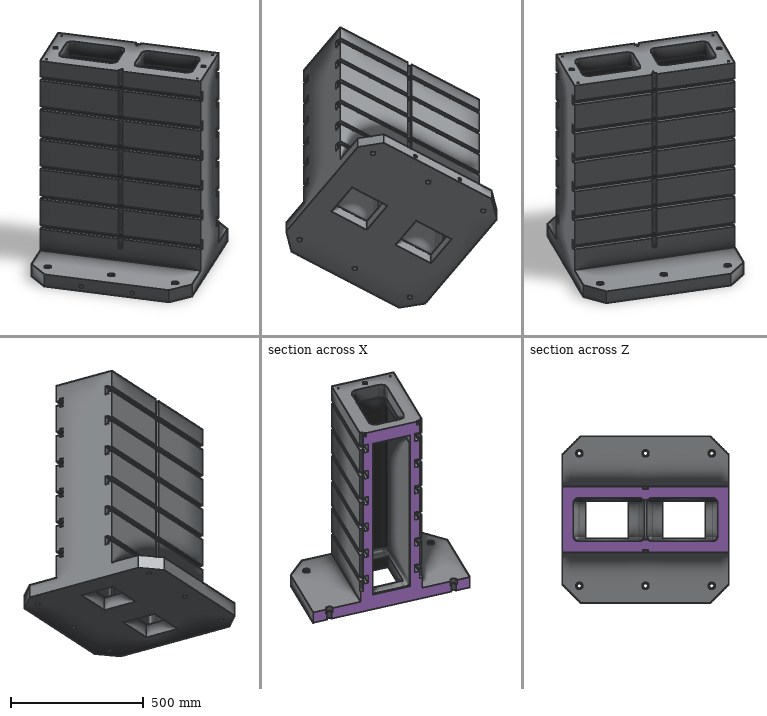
import cadquery as cq
import math

plate_side = 630.0
plate_thickness = 52.0
plate_corner_cut = 70.5
total_height = 850.0

tower_depth = 250.0
tower_half_depth = tower_depth / 2

slot_count = 6
slot_pitch = 125.0
top_slot_drop = 75.0
neck_height = 18.0
neck_depth = 16.0
slot_depth = 30.0
slot_head_height = 33.0

groove_width = 18.0
groove_depth = 10.0
groove_bottom = 100.0

roof_thickness = 60.0
roof_bottom = total_height - roof_thickness
roof_opening_length = 228.0
roof_opening_width = 140.0
roof_opening_radius = 25.0
roof_opening_offset = 148.0

chamber_end = 272.0
chamber_half_width = 82.0
chamber_radius = 20.0
web_thickness = 10.0

lip_half_gap = 75.0
lip_height = 40.0

floor_opening_length = 160.0
floor_opening_width = 140.0
floor_opening_offset = 145.0

mount_spacing = 250.0
mount_diameter = 18.0
mount_counterbore_diameter = 26.0
mount_counterbore_depth = 20.0

drill_point_angle = 118
lifting_diameter = 18.0
lifting_offset = 290.0
lifting_depth = 40.0
pin_diameter = 5.0
pin_x = 296.0
pin_y = 104.5
pin_depth = 15.0
side_diameter = 14.0
side_offset = 100.0
side_height = 19.5
side_depth = 30.0


def box(length, width, bottom, top, x=0, y=0):
    """Upright box centred on (x, y) between two heights."""
    return cq.Workplane("XY", origin=(x, y, bottom)).rect(length, width).extrude(top - bottom)


def drilled_hole(diameter, depth, position, direction):
    """Blind hole cutter with a conical drill point."""
    radius = diameter / 2
    point_depth = radius / math.tan(math.radians(drill_point_angle / 2))
    start = cq.Vector(*position)
    axis = cq.Vector(*direction)
    shaft = cq.Solid.makeCylinder(radius, depth, start, axis)
    point = cq.Solid.makeCone(radius, 0, point_depth, start + axis * depth, axis)
    return cq.Workplane(shaft.fuse(point))


def body():
    """Cut-cornered plate with the solid tower on it."""
    plate = box(plate_side, plate_side, 0, plate_thickness).edges("|Z").chamfer(plate_corner_cut)
    return plate.union(box(plate_side, tower_depth, 0, total_height))


def slot_bar(height, near, far, z, side):
    """Bar along X between two distances inward from a tower face (side 1 is +Y, -1 is -Y)."""
    y = side * (tower_half_depth - (near + far) / 2)
    return box(plate_side, far - near, z - height / 2, z + height / 2, y=y)


def t_slots():
    """T-slots of both faces, from the top one down."""
    slots = cq.Workplane("XY")
    for level in range(slot_count):
        z = total_height - top_slot_drop - level * slot_pitch
        for side in (1, -1):
            slots = slots.add(slot_bar(neck_height, 0, slot_depth, z, side))
            slots = slots.add(slot_bar(slot_head_height, neck_depth, slot_depth, z, side))
    return slots.combine()


def centre_grooves():
    """Round-ended vertical grooves, open at the top."""
    end_z = groove_bottom + groove_width / 2
    length = total_height - end_z
    groove = (cq.Workplane("XZ", origin=(0, tower_half_depth, 0))
              .moveTo(-groove_width / 2, total_height)
              .vLine(-length)
              .threePointArc((0, groove_bottom), (groove_width / 2, end_z))
              .vLine(length)
              .close()
              .extrude(groove_depth))
    return groove.union(groove.mirror("XZ"))


def roof_opening(side):
    """Round-cornered opening through the roof into one chamber."""
    opening = box(roof_opening_length, roof_opening_width, roof_bottom, total_height,
                  side * roof_opening_offset)
    return opening.edges("|Z").fillet(roof_opening_radius)


def chamber(side):
    """One chamber with rounded corners and floor edges, narrowed between the lips at its top."""
    length = chamber_end - web_thickness / 2
    middle = side * (chamber_end + web_thickness / 2) / 2
    space = box(length, 2 * chamber_half_width, plate_thickness, roof_bottom, middle)
    space = space.edges("|Z or <Z").fillet(chamber_radius)
    lip_width = chamber_half_width - lip_half_gap
    lip_y = lip_half_gap + lip_width / 2
    for y in (-lip_y, lip_y):
        space = space.cut(box(length, lip_width, roof_bottom - lip_height, roof_bottom, middle, y))
    return space


def floor_opening(side):
    """Rectangular opening from one chamber down through the plate."""
    return box(floor_opening_length, floor_opening_width, 0, roof_bottom, side * floor_opening_offset)


def tower_cavity():
    """Hollow inside of the tower, with the two chambers joined through the web."""
    web_cut_length = web_thickness + 2 * chamber_radius
    web_cut_bottom = plate_thickness + chamber_radius
    cavity = box(web_cut_length, 2 * lip_half_gap, web_cut_bottom, roof_bottom)
    for side in (1, -1):
        cavity = cavity.union(chamber(side))
        cavity = cavity.union(roof_opening(side)).union(floor_opening(side))
    return cavity


def mounting_holes():
    """Three counterbored holes along each side of the tower."""
    places = [(column * mount_spacing, row * mount_spacing) for column in (-1, 0, 1) for row in (-1, 1)]
    through = cq.Workplane("XY").pushPoints(places).circle(mount_diameter / 2).extrude(plate_thickness)
    bores = (cq.Workplane("XY", origin=(0, 0, plate_thickness - mount_counterbore_depth))
             .pushPoints(places)
             .circle(mount_counterbore_diameter / 2)
             .extrude(mount_counterbore_depth))
    return through.union(bores)


def blind_holes():
    """Lifting and pin holes in the tower top, and drilled holes in the front edge of the plate."""
    holes = cq.Workplane("XY")
    down = (0, 0, -1)
    for side in (-1, 1):
        holes = holes.add(drilled_hole(lifting_diameter, lifting_depth,
                                       (side * lifting_offset, 0, total_height), down))
        holes = holes.add(drilled_hole(side_diameter, side_depth,
                                       (side * side_offset, -plate_side / 2, side_height), (0, 1, 0)))
        for column in (-1, 0, 1):
            holes = holes.add(drilled_hole(pin_diameter, pin_depth,
                                           (column * pin_x, side * pin_y, total_height), down))
    return holes.combine()


result = (body().cut(t_slots()).cut(centre_grooves()).cut(tower_cavity())
          .cut(mounting_holes()).cut(blind_holes()).solids())